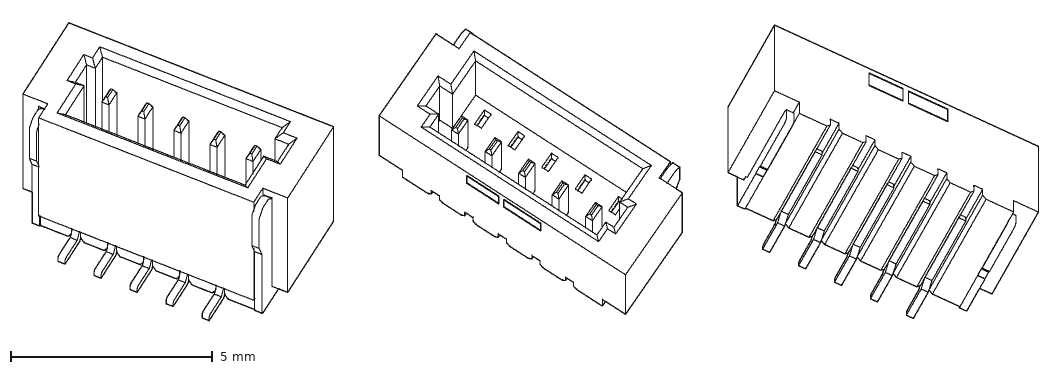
import cadquery as cq


overall_width = 7.35
height = 4.42
depth = 3.035
body_width = 5.97
body_bottom = 0.03
wing_front = 0.5
wing_bottom = 0.67
recess_depth = 0.1
recess_top = 0.53

bevel = 0.155
floor_z = 1.03
cavity_width = 4.98
cavity_front = 0.5
cavity_back = 2.54
key_front = 1.53
key_back = 2.145
key_left = -2.735
key_right = 2.875

pad_thickness = 0.015
pad_bottom = 3.44
pad_top = 4.13
left_pad_start = -1.15
left_pad_end = -0.05
right_pad_start = 0.1
right_pad_end = 1.05

contact_count = 5
contact_pitch = 1.0
contact_width = 0.2
lead_thickness = 0.205
lead_top = 0.51
foot_tip = -0.7
foot_heel = -0.03
slope_run = 0.2
bend_offset = 0.15
foot_tip_radius = 0.07
bend_radius = 0.12
pin_y = 1.94
pin_length = 0.43
pin_top = 3.785
pin_point_height = 0.17
pin_point_inset = 0.07
window_y = 0.91
window_length = 0.43

groove_width = 0.24
groove_mouth_width = 0.43
groove_flare_top = 0.18

tab_thickness = 0.205
tab_front = 0.045
tab_back = 2.75
tab_top = 4.21
tab_bulge_front = -0.11
bulge_slope_bottom = 2.41
bulge_bottom = 2.82
post_chamfer = 0.205
post_radius = 0.1
seat_depth = 0.1
seat_side_gap = 0.045
seat_top = 4.17
tab_front_radius = 0.07
tab_back_radius = 0.13
notch_top = 0.05
notch_back = 1.315
notch_front = 1.065


def block(x_range, y_range, z_range):
    """Box between the given pairs of limits."""
    size = [limits[1] - limits[0] for limits in (x_range, y_range, z_range)]
    return cq.Workplane("XY").box(*size, centered=False).translate((x_range[0], y_range[0], z_range[0]))


def centred(middle, length):
    """Limits of a length about its middle."""
    return (middle - length / 2, middle + length / 2)


def side_plate(points, x_start, thickness):
    """Plate of the given (y, z) outline, reaching from x_start toward +X."""
    return cq.Workplane("YZ").polyline(points).close().extrude(thickness).translate((x_start, 0, 0))


def make_shell():
    body = block(centred(0, body_width), (0, depth), (body_bottom, height))
    wings = block(centred(0, overall_width), (wing_front, depth), (wing_bottom, height))
    wall_recess = block(centred(0, body_width), (0, recess_depth), (body_bottom, recess_top))
    return body.union(wings).cut(wall_recess)


def cavity_part(x_range, y_range):
    """Straight pocket with a 45-degree bevel opening outward at the rim."""
    pocket = block(x_range, y_range, (floor_z, height))
    width = x_range[1] - x_range[0]
    length = y_range[1] - y_range[0]
    centre = (sum(x_range) / 2, sum(y_range) / 2)
    lead_in = (
        cq.Workplane("XY", origin=(*centre, height - bevel))
        .rect(width, length)
        .workplane(offset=bevel)
        .rect(width + 2 * bevel, length + 2 * bevel)
        .loft(ruled=True)
    )
    return pocket.union(lead_in)


def make_cavity():
    main = cavity_part(centred(0, cavity_width), (cavity_front, cavity_back))
    keys = cavity_part((key_left, key_right), (key_front, key_back))
    return main.union(keys)


def make_pads():
    y_range = (depth, depth + pad_thickness)
    z_range = (pad_bottom, pad_top)
    left = block((left_pad_start, left_pad_end), y_range, z_range)
    right = block((right_pad_start, right_pad_end), y_range, z_range)
    return left.union(right)


def make_groove(x):
    """Groove around one lead, flared at its mouth and open at both ends."""
    half = groove_width / 2
    mouth = groove_mouth_width / 2
    outline = [
        (-mouth, body_bottom),
        (-half, groove_flare_top),
        (-half, lead_top),
        (half, lead_top),
        (half, groove_flare_top),
        (mouth, body_bottom),
    ]
    return cq.Workplane("XZ").polyline(outline).close().extrude(-depth).translate((x, 0, 0))


def make_window(x):
    """Opening in the cavity floor down to one lead."""
    return block(centred(x, contact_width), centred(window_y, window_length), (lead_top, floor_z))


def make_contact(x):
    """Bent lead with a pointed upright pin."""
    lead_end = pin_y + pin_length / 2
    slope_top = foot_heel + slope_run
    lead_outline = [
        (foot_tip, 0),
        (foot_tip, lead_thickness),
        (foot_heel, lead_thickness),
        (slope_top, lead_top),
        (lead_end, lead_top),
        (lead_end, lead_top - lead_thickness),
        (slope_top + bend_offset, lead_top - lead_thickness),
        (foot_heel + bend_offset, 0),
    ]
    lead = side_plate(lead_outline, x - contact_width / 2, contact_width)
    tip_edge = cq.selectors.NearestToPointSelector((x, foot_tip, lead_thickness))
    bend_edge = cq.selectors.NearestToPointSelector((x, slope_top, lead_top))
    lead = lead.edges(tip_edge).fillet(foot_tip_radius).edges(bend_edge).fillet(bend_radius)

    shoulder = pin_top - pin_point_height
    stem = block(centred(x, contact_width), centred(pin_y, pin_length), (lead_top, shoulder))
    point = (
        cq.Workplane("XY", origin=(x, pin_y, shoulder))
        .rect(contact_width, pin_length)
        .workplane(offset=pin_point_height)
        .rect(contact_width - 2 * pin_point_inset, pin_length - 2 * pin_point_inset)
        .loft(ruled=True)
    )
    return lead.union(stem).union(point)


def make_seat(side):
    """Slot in the front of one wing that takes the post of a solder tab."""
    inner = side * body_width / 2
    outer = inner + side * (tab_thickness + seat_side_gap)
    return block(sorted((inner, outer)), (wing_front, wing_front + seat_depth), (wing_bottom, seat_top))


def make_housing():
    housing = make_shell().cut(make_cavity()).union(make_pads())
    for side in (-1, 1):
        housing = housing.cut(make_seat(side))
    for index in range(contact_count):
        x = (index - (contact_count - 1) / 2) * contact_pitch
        housing = housing.cut(make_groove(x)).cut(make_window(x)).union(make_contact(x))
    return housing


def make_solder_tab(side):
    """L-shaped plate: a post in front of the wing and a leg under it."""
    post_back = wing_front + seat_depth
    outline = [
        (tab_front, body_bottom),
        (tab_front, bulge_slope_bottom),
        (tab_bulge_front, bulge_bottom),
        (tab_bulge_front, tab_top - post_chamfer),
        (tab_bulge_front + post_chamfer, tab_top),
        (post_back - post_chamfer, tab_top),
        (post_back, tab_top - post_chamfer),
        (post_back, wing_bottom),
        (tab_back, wing_bottom),
        (tab_back, 0),
        (notch_back, 0),
        (notch_back - notch_top, notch_top),
        (notch_front, notch_top),
        (notch_front, body_bottom),
    ]
    inner = side * body_width / 2
    x_start = min(inner, inner + side * tab_thickness)
    tab = side_plate(outline, x_start, tab_thickness)

    x_middle = x_start + tab_thickness / 2
    rounded_corners = [
        (outline[0], tab_front_radius),
        (outline[3], post_radius),
        (outline[4], post_radius),
        (outline[5], post_radius),
        (outline[8], tab_back_radius),
        (outline[9], tab_back_radius),
    ]
    for corner, radius in rounded_corners:
        edge = cq.selectors.NearestToPointSelector((x_middle, *corner))
        tab = tab.edges(edge).fillet(radius)
    return tab


housing = make_housing()
solder_tabs = [make_solder_tab(side) for side in (-1, 1)]

result = cq.Compound.makeCompound([housing.val(), *(tab.val() for tab in solder_tabs)])